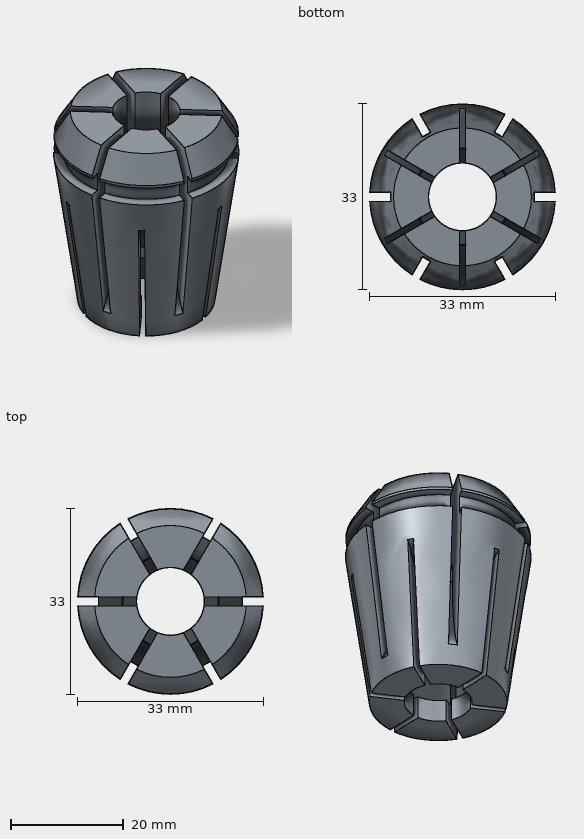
import cadquery as cq
import math

height = 40.0
bottom_radius = 12.25
body_diameter = 33.0
body_radius = body_diameter / 2
body_top = 31.0

groove_radius = 14.7
groove_top = 34.55
rim_radius = 16.4
rim_top = 35.1
top_radius = 13.5

bore_radius = 6.0
relief_radius = 8.5
relief_bottom = 4.4
relief_top = 24.0
shoulder_slope = 15.0

slit_count = 6
slit_pitch = 360 / slit_count
runout_inner_radius = 8.65
top_slit_width = 1.6
top_slit_outer_z = 4.05
top_slit_inner_z = 20.25
top_slit_runout_radius = 26.0
bottom_slit_width = 1.1
bottom_slit_outer_z = 24.95
bottom_slit_inner_z = 16.7
bottom_slit_runout_radius = 17.2
clearance = 2.0


def body_radius_at(z):
    """Outside radius of the tapered body at height z."""
    return bottom_radius + (body_radius - bottom_radius) * z / body_top


def make_body():
    shoulder_height = (relief_radius - bore_radius) * math.tan(math.radians(shoulder_slope))
    return (
        cq.Workplane("XZ")
        .polyline([
            (bore_radius, 0),
            (bottom_radius, 0),
            (body_radius, body_top),
            (groove_radius, body_top),
            (groove_radius, groove_top),
            (rim_radius, groove_top),
            (rim_radius, rim_top),
            (top_radius, height),
            (bore_radius, height),
            (bore_radius, relief_top + shoulder_height),
            (relief_radius, relief_top),
            (relief_radius, relief_bottom + shoulder_height),
            (bore_radius, relief_bottom),
        ])
        .close()
        .revolve(360, (0, 0, 0), (0, 1, 0))
    )


def make_slit(width, outer_z, inner_z, runout_radius, open_z):
    """Radial slit along +X, open at open_z and closed by a curved run-out."""
    outer_radius = body_radius_at(outer_z)
    far_radius = body_radius + clearance
    signed_radius = math.copysign(runout_radius, open_z - outer_z)
    return (
        cq.Workplane("XZ")
        .moveTo(0, open_z)
        .lineTo(0, inner_z)
        .lineTo(runout_inner_radius, inner_z)
        .radiusArc((outer_radius, outer_z), -signed_radius)
        .lineTo(far_radius, outer_z)
        .lineTo(far_radius, open_z)
        .close()
        .extrude(width / 2, both=True)
    )


def cut_slits(part, slit, start_angle):
    for index in range(slit_count):
        angle = start_angle + index * slit_pitch
        part = part.cut(slit.rotate((0, 0, 0), (0, 0, 1), angle))
    return part


top_slit = make_slit(
    top_slit_width, top_slit_outer_z, top_slit_inner_z, top_slit_runout_radius, height + clearance
)
bottom_slit = make_slit(
    bottom_slit_width, bottom_slit_outer_z, bottom_slit_inner_z, bottom_slit_runout_radius, -clearance
)

result = make_body()
result = cut_slits(result, top_slit, 0)
result = cut_slits(result, bottom_slit, slit_pitch / 2)